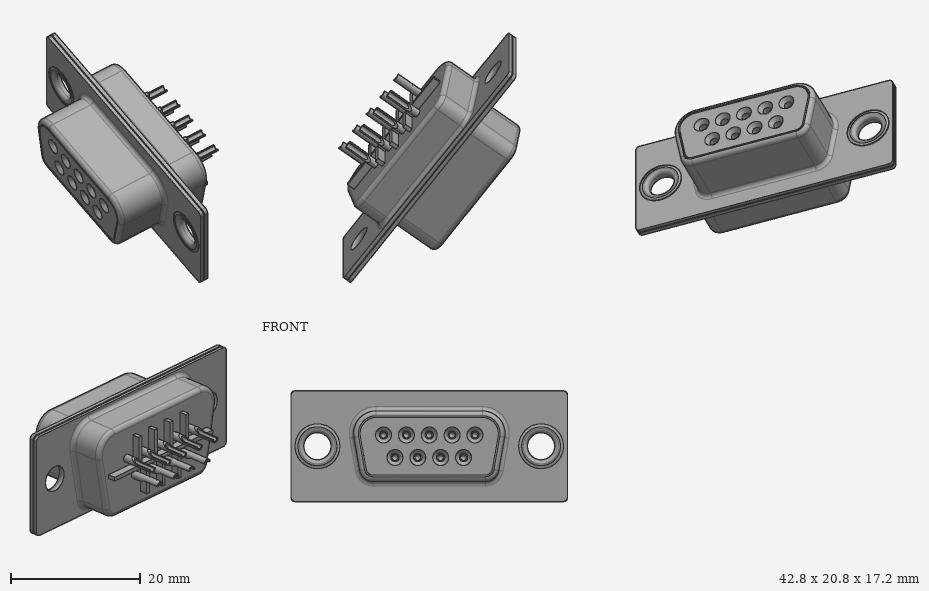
import cadquery as cq
import math


sheet = 0.68
flange_width = 42.76
flange_height = 17.16
flange_corner_radius = 0.7
joint_gap = 0.1
joint_depth = 0.1

lean = math.radians(10)
upper_corner_radius = 3.5
lower_corner_radius = 2.1
front_top_half_width = 12.37
front_half_height = 5.47
front_reach = 9.04
rear_top_half_width = 13.92
rear_half_height = 7.54
rear_reach = 6.25
nose_radius = 0.76
foot_radius = 0.65

insulator_gap = 0.26

hole_spacing = 34.54
hole_radius = 2.08
ring_inner_radius = 3.0
ring_outer_radius = 3.46
ring_depth = 0.15

pitch = 3.53
row_spacing = 3.48
upper_count = 5
lower_count = 4

funnel_radius = 1.23
throat_radius = 0.64
funnel_depth = 0.75
throat_length = 1.3
bore_radius = 0.45
bore_depth = 5.0

cup_radius = 0.635
cup_bore_radius = 0.4
cup_end = 11.79
cup_flat_start = 8.95

rib_thickness = 0.65
rib_end = 7.54
rib_half_width = 11.08
rib_half_height = 5.21


def prism(sketch, y_start, y_end):
    """Extrude an XZ sketch from y_start to y_end."""
    plane = cq.Workplane("XZ", origin=(0, y_end, 0))
    return plane.placeSketch(sketch).extrude(y_end - y_start)


def revolved(profile, x, z):
    """Revolve (radius, y) points about the Y-parallel axis through (x, z)."""
    turned = cq.Workplane("XY").polyline(profile).close().revolve(360, (0, 0, 0), (0, 1, 0))
    return turned.translate((x, 0, z))


def cylinder(radius, y_start, y_end):
    return revolved([(0, y_start), (radius, y_start), (radius, y_end), (0, y_end)], 0, 0)


def block(x_size, z_size, y_start, y_end, x=0, z=0):
    """Box centred on (x, z) and reaching from y_start to y_end."""
    middle = (x, (y_start + y_end) / 2, z)
    return cq.Workplane("XY").box(x_size, y_end - y_start, z_size).translate(middle)


def row_positions(count):
    """X places of a centred row at the contact pitch."""
    return [(i - (count - 1) / 2) * pitch for i in range(count)]


def hood_outline(top_half_width, half_height, inset=0):
    """Rounded trapezoid, optionally shrunk evenly all around."""
    bottom_half_width = top_half_width - 2 * half_height * math.tan(lean)
    top_half = top_half_width - inset * (1 + math.sin(lean)) / math.cos(lean)
    bottom_half = bottom_half_width - inset * (1 - math.sin(lean)) / math.cos(lean)
    z = half_height - inset
    corners = [(-top_half, z), (top_half, z), (bottom_half, -z), (-bottom_half, -z), (-top_half, z)]
    sketch = cq.Sketch().polygon(corners)
    sketch = sketch.vertices(">Y").fillet(upper_corner_radius - inset).reset()
    return sketch.vertices("<Y").fillet(lower_corner_radius - inset).reset()


def make_flange():
    """Rounded plate with the joint groove around its rim."""
    flange = block(flange_width, flange_height, -sheet, sheet)
    flange = flange.edges("|Y").fillet(flange_corner_radius)
    joint = block(flange_width, flange_height, -joint_gap / 2, joint_gap / 2)
    core_width = flange_width - 2 * joint_depth
    core_height = flange_height - 2 * joint_depth
    core = block(core_width, core_height, -sheet, sheet)
    core = core.edges("|Y").fillet(flange_corner_radius - joint_depth)
    return flange.cut(joint.cut(core))


def hood_foot(flange_face):
    """Selector for the edges where a hood meets a flange face, clear of the flange rim."""
    half_width = flange_width / 2 - flange_corner_radius
    half_height = flange_height / 2 - flange_corner_radius
    half_depth = sheet / 10
    return cq.selectors.BoxSelector(
        (-half_width, flange_face - half_depth, -half_height),
        (half_width, flange_face + half_depth, half_height),
    )


def make_shell():
    """Flange with the front and rear hoods blended into it."""
    front = prism(hood_outline(front_top_half_width, front_half_height), -front_reach, 0)
    front = front.faces("<Y").edges().fillet(nose_radius)
    rear = prism(hood_outline(rear_top_half_width, rear_half_height), 0, rear_reach)
    rear = rear.faces(">Y").edges().fillet(nose_radius)
    shell = make_flange().union(front).union(rear)
    for flange_face in (-sheet, sheet):
        shell = shell.edges(hood_foot(flange_face)).fillet(foot_radius)
    return shell


def lip_gap():
    """Groove between the shell lip and the insulator, as deep as the sheet is thick."""
    outer = hood_outline(front_top_half_width, front_half_height, nose_radius)
    inner = hood_outline(front_top_half_width, front_half_height, nose_radius + insulator_gap)
    gap_floor = -front_reach + sheet
    return prism(outer, -front_reach, gap_floor).cut(prism(inner, -front_reach, gap_floor))


def mounting_hole(x):
    """Through hole with a rounded mouth, plus the ring groove that slopes away from it."""
    mouth_radius = hole_radius + sheet
    diagonal = sheet * math.sqrt(0.5)
    opening = (
        cq.Workplane("XY")
        .moveTo(0, -sheet)
        .lineTo(mouth_radius, -sheet)
        .threePointArc((mouth_radius - diagonal, -diagonal), (hole_radius, 0))
        .lineTo(hole_radius, sheet)
        .lineTo(0, sheet)
        .close()
        .revolve(360, (0, 0, 0), (0, 1, 0))
        .translate((x, 0, 0))
    )
    groove = [
        (ring_inner_radius, -sheet),
        (ring_outer_radius, -sheet),
        (ring_outer_radius, -sheet + ring_depth),
    ]
    return opening.union(revolved(groove, x, 0))


def socket(x, z):
    """Funnel leading to the narrower, cone-bottomed bore of the contact."""
    throat = -front_reach + funnel_depth
    contact_face = throat + throat_length
    profile = [
        (0, -front_reach),
        (funnel_radius, -front_reach),
        (throat_radius, throat),
        (throat_radius, contact_face),
        (bore_radius, contact_face),
        (bore_radius, -front_reach + bore_depth),
        (0, -front_reach + bore_depth + bore_radius),
    ]
    return revolved(profile, x, z)


def solder_cup(x, z, outward):
    """Round pin whose hollow end is cut open on the outward (+1 up, -1 down) side."""
    pin = cylinder(cup_radius, 0, cup_end)
    bore = cylinder(cup_bore_radius, rib_end, cup_end)
    opening = (
        cq.Workplane("YZ")
        .polyline([
            (rib_end, outward * cup_radius),
            (cup_flat_start, 0),
            (cup_end, 0),
            (cup_end, outward * cup_radius),
        ])
        .close()
        .extrude(cup_radius, both=True)
    )
    return pin.cut(bore).cut(opening).translate((x, 0, z))


def insulator_ribs():
    """Rib between the rows, and ribs between neighbouring cups of each row."""
    ribs = block(2 * rib_half_width, rib_thickness, 0, rib_end)
    for count, outward in ((upper_count, 1), (lower_count, -1)):
        for x in row_positions(count - 1):
            z = outward * rib_half_height / 2
            ribs = ribs.union(block(rib_thickness, rib_half_height, 0, rib_end, x, z))
    return ribs


result = make_shell().union(insulator_ribs()).cut(lip_gap())

for side in (-1, 1):
    result = result.cut(mounting_hole(side * hole_spacing / 2))

for count, outward in ((upper_count, 1), (lower_count, -1)):
    row_height = outward * row_spacing / 2
    for x in row_positions(count):
        result = result.union(solder_cup(x, row_height, outward))
        result = result.cut(socket(x, row_height))